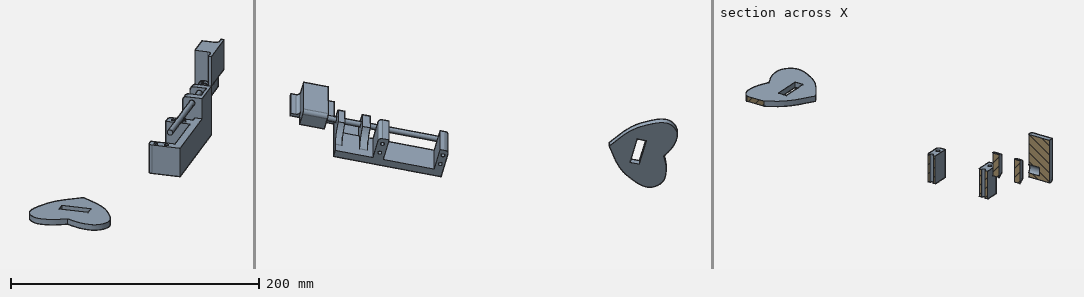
import cadquery as cq


base_length = 89.2
base_height = 25.0
wall_thickness = 6.5
leg_reach = 27.0
near_leg_width = 7.3
far_leg_start = 49.5
far_leg_end = 58.0
corner_radius = 3.0
screw_hole_diameter = 3.0
screw_hole_offsets = (12.5, 21.7)

guide_start = 62.5
guide_top = 42.8
guide_reach = 16.5
guide_back_thickness = 2.8
near_arm_width = 6.5
far_arm_width = 5.5
guide_root_radius = wall_thickness - guide_back_thickness
gusset_bottom = 8.3

rod_diameter = 4.5
rod_hole_diameter = 5.0
rod_x = -8.5
rod_z = 38.0
rod_length = 107.5

plate_thickness = 2.8
plate_start = base_length
plate_end = 125.3
plate_bottom = 42.8
slider_top = 68.8
block_start = 97.5
block_end = 118.0
block_bottom = 30.3
block_reach = guide_reach
socket_diameter = 10.5
socket_end = rod_length

collar_diameter = 6.0
collar_recess = 0.5

heart_center_x = -43.0
heart_tip_y = -129.0
heart_half_width = 33.5
heart_widest_drop = 39.5
heart_shoulder_offset = 26.3
heart_shoulder_drop = 21.7
heart_lobe_offset = 21.0
heart_length = 51.3
heart_notch_drop = 45.2
heart_bottom = base_height
heart_thickness = 5.0
slot_length = 24.5
slot_width = 7.5
slot_drop = 24.0


def box(x_min, x_max, y_min, y_max, z_min, z_max):
    """Box given by its limits along each axis."""
    size = (x_max - x_min, y_max - y_min, z_max - z_min)
    return cq.Workplane("XY").box(*size, centered=False).translate((x_min, y_min, z_min))


def along_y(diameter, y_min, y_max):
    """Cylinder on the rod axis."""
    cylinder = cq.Workplane("XZ").center(rod_x, rod_z).circle(diameter / 2).extrude(y_min - y_max)
    return cylinder.translate((0, y_min, 0))


def make_guide_arm(y_min, width):
    """Guide arm with a rounded top edge and a hollow curved gusset down to the wall."""
    overhang = guide_reach - wall_thickness
    drop = base_height - gusset_bottom
    radius = (overhang**2 + drop**2) / (2 * overhang)
    half_drop = drop / 2
    arc_middle_x = -wall_thickness - radius + (radius**2 - half_drop**2) ** 0.5
    arm = (
        cq.Workplane("XZ")
        .moveTo(0, gusset_bottom)
        .lineTo(-wall_thickness, gusset_bottom)
        .threePointArc((arc_middle_x, gusset_bottom + half_drop), (-guide_reach, base_height))
        .lineTo(-guide_reach, guide_top)
        .lineTo(0, guide_top)
        .close()
        .extrude(-width)
    )
    arm = arm.edges("|Y and <X and >Z").fillet(corner_radius)
    return arm.translate((0, y_min, 0))


def make_leg(y_min, y_max, rounded_edge):
    """Leg with one rounded outer edge and a row of vertical screw holes."""
    leg = box(-leg_reach, 0, y_min, y_max, 0, base_height)
    leg = leg.edges("|Z").edges("<X").edges(rounded_edge).fillet(corner_radius)
    middle = (y_min + y_max) / 2
    holes = (
        cq.Workplane("XY")
        .pushPoints([(-offset, middle) for offset in screw_hole_offsets])
        .circle(screw_hole_diameter / 2)
        .extrude(base_height)
    )
    return leg.cut(holes)


def make_base():
    base = box(-wall_thickness, 0, 0, base_length, 0, base_height)
    base = base.union(make_leg(0, near_leg_width, "<Y"))
    base = base.union(make_leg(far_leg_start, far_leg_end, ">Y"))

    root = guide_root_radius
    web = (
        cq.Workplane("XZ")
        .moveTo(0, base_height)
        .lineTo(-guide_back_thickness - root, base_height)
        .radiusArc((-guide_back_thickness, base_height + root), -root)
        .lineTo(-guide_back_thickness, guide_top)
        .lineTo(0, guide_top)
        .close()
        .extrude(guide_start - base_length)
        .translate((0, guide_start, 0))
    )
    base = base.union(web)
    base = base.union(make_guide_arm(guide_start, near_arm_width))
    base = base.union(make_guide_arm(base_length - far_arm_width, far_arm_width))
    return base.cut(along_y(rod_hole_diameter, guide_start, base_length))


def make_rod():
    return along_y(rod_diameter, 0, rod_length)


def make_collar():
    collar_start = block_start + collar_recess
    collar = along_y(collar_diameter, collar_start, socket_end)
    return collar.cut(along_y(rod_diameter, collar_start, socket_end))


def make_slider():
    plate = box(-plate_thickness, 0, plate_start, plate_end, plate_bottom, slider_top)
    block = box(-block_reach, -plate_thickness, block_start, block_end, block_bottom, slider_top)
    block = block.edges("|Y and <X and <Z").fillet(corner_radius)
    slider = plate.union(block)

    for block_face, outward in ((block_start, -1), (block_end, 1)):
        fillet_strip = (
            cq.Workplane("XY", origin=(0, 0, plate_bottom))
            .moveTo(-plate_thickness, block_face)
            .lineTo(-plate_thickness - corner_radius, block_face)
            .radiusArc((-plate_thickness, block_face + outward * corner_radius), -outward * corner_radius)
            .close()
            .extrude(slider_top - plate_bottom)
        )
        slider = slider.union(fillet_strip)
    return slider.cut(along_y(socket_diameter, block_start, socket_end))


def make_heart():
    """Heart-shaped plate, point toward the base, with a rectangular slot."""
    tip = (0, 0)
    shoulder = (heart_shoulder_offset, -heart_shoulder_drop)
    widest = (heart_half_width, -heart_widest_drop)
    lobe = (heart_lobe_offset, -heart_length)
    notch = (0, -heart_notch_drop)
    tip_direction = (1, -0.6)
    shoulder_direction = (0.6, -1)
    notch_direction = (-1, 0.5)
    directions = [tip_direction, shoulder_direction, (0, -1), (-1, 0), notch_direction]
    half = (
        cq.Workplane("XY")
        .moveTo(*tip)
        .spline([shoulder, widest, lobe, notch], tangents=directions, includeCurrent=True)
        .close()
        .extrude(heart_thickness)
    )
    heart = half.union(half.mirror("YZ"))
    slot = cq.Workplane("XY").center(0, -slot_drop).rect(slot_length, slot_width).extrude(heart_thickness)
    return heart.cut(slot).translate((heart_center_x, heart_tip_y, heart_bottom))


base = make_base()
rod = make_rod()
collar = make_collar()
slider = make_slider()
heart = make_heart()

bodies = [base, rod, collar, slider, heart]
result = cq.Compound.makeCompound([body.solids().val() for body in bodies])